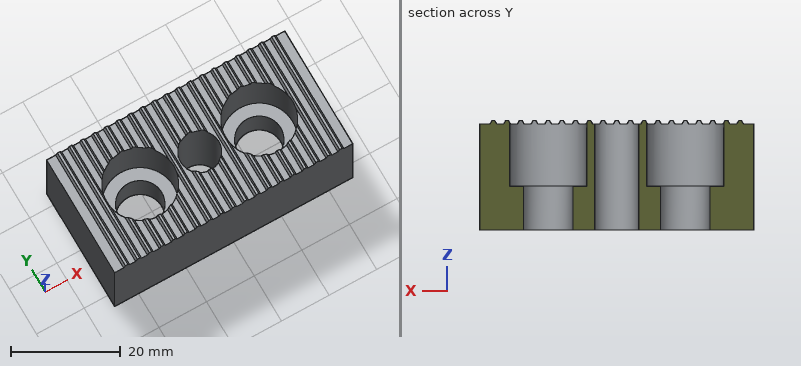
import cadquery as cq

length = 50.0
width = 25.0
height = 20.0

ridge_pitch = 2.5
ridge_count = 19
ridge_height = 0.65
ridge_base = 1.25
ridge_crest = 0.5
valley_z = height - ridge_height

bolt_offset = length / 4
bolt_diameter = 9.0
counterbore_diameter = 14.0
counterbore_depth = 12.0
centre_hole_diameter = 8.0


def make_ridged_block():
    """Extrude the end profile, a rectangle with ridges along its top edge."""
    first_ridge_x = -ridge_pitch * (ridge_count - 1) / 2
    outline = [(-length / 2, 0), (-length / 2, valley_z)]
    for index in range(ridge_count):
        x = first_ridge_x + index * ridge_pitch
        outline += [
            (x - ridge_base / 2, valley_z),
            (x - ridge_crest / 2, height),
            (x + ridge_crest / 2, height),
            (x + ridge_base / 2, valley_z),
        ]
    outline += [(length / 2, valley_z), (length / 2, 0)]
    return cq.Workplane("XZ").polyline(outline).close().extrude(width / 2, both=True)


def make_hole(x, diameter, floor_z):
    """Cylinder that removes material from floor_z up to the ridge crests."""
    plane = cq.Workplane("XY", origin=(x, 0, floor_z))
    return plane.circle(diameter / 2).extrude(height - floor_z)


result = make_ridged_block()
result = result.cut(make_hole(0, centre_hole_diameter, 0))
for bolt_x in (-bolt_offset, bolt_offset):
    result = result.cut(make_hole(bolt_x, bolt_diameter, 0))
    result = result.cut(make_hole(bolt_x, counterbore_diameter, height - counterbore_depth))